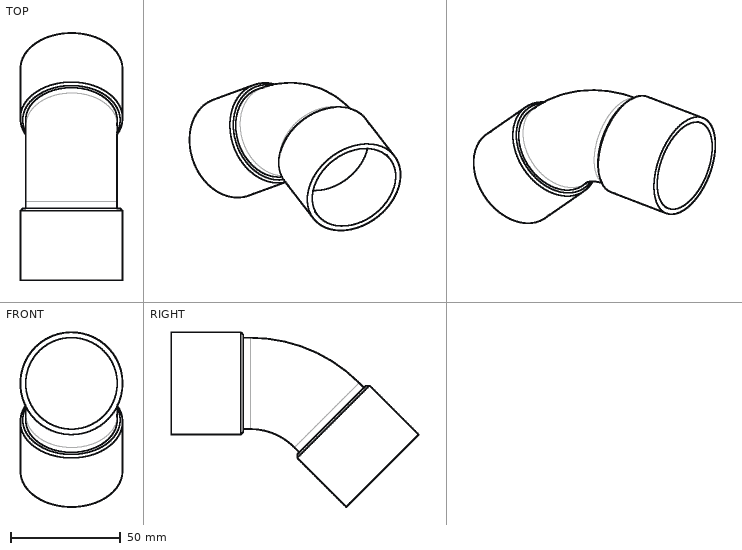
import cadquery as cq
import math

overall_length = 113.4
socket_diameter = 47.0
pipe_diameter = 42.0
socket_length = 33.0
chamfer_size = 1.1
neck_length = 3.3
bend_angle = 45.0

bore_diameter = pipe_diameter
wall_thickness = (socket_diameter - bore_diameter) / 2
bore_depth = socket_length - wall_thickness

angle = math.radians(bend_angle)
arm_length = neck_length + socket_length
arms_extent = arm_length * (1 + math.cos(angle))
rim_extent = socket_diameter / 2 * math.sin(angle)
bend_radius = (overall_length - arms_extent - rim_extent) / math.sin(angle)

bend_end = (0, bend_radius * math.sin(angle), -bend_radius * (1 - math.cos(angle)))
end_direction = (0, math.cos(angle), -math.sin(angle))


def make_bend():
    """Solid pipe swept around an axis parallel to X below the origin."""
    profile = cq.Workplane("XZ").circle(pipe_diameter / 2)
    return profile.revolve(bend_angle, (0, -bend_radius, 0), (-1, -bend_radius, 0))


def make_arm(start, direction):
    """Straight neck and blind socket leading outward from one end of the bend."""
    plane = cq.Plane(origin=start, xDir=(1, 0, 0), normal=direction)
    neck = cq.Workplane(plane).circle(pipe_diameter / 2).extrude(neck_length)
    socket = (
        cq.Workplane(plane)
        .workplane(offset=neck_length)
        .circle(socket_diameter / 2)
        .extrude(socket_length)
    )
    shoulder = cq.selectors.DirectionMinMaxSelector(cq.Vector(*direction), False)
    socket = socket.faces(shoulder).chamfer(chamfer_size)
    bore = (
        cq.Workplane(plane)
        .workplane(offset=arm_length - bore_depth)
        .circle(bore_diameter / 2)
        .extrude(bore_depth)
    )
    return neck.union(socket).cut(bore)


front_arm = make_arm((0, 0, 0), (0, -1, 0))
lower_arm = make_arm(bend_end, end_direction)
result = make_bend().union(front_arm).union(lower_arm)